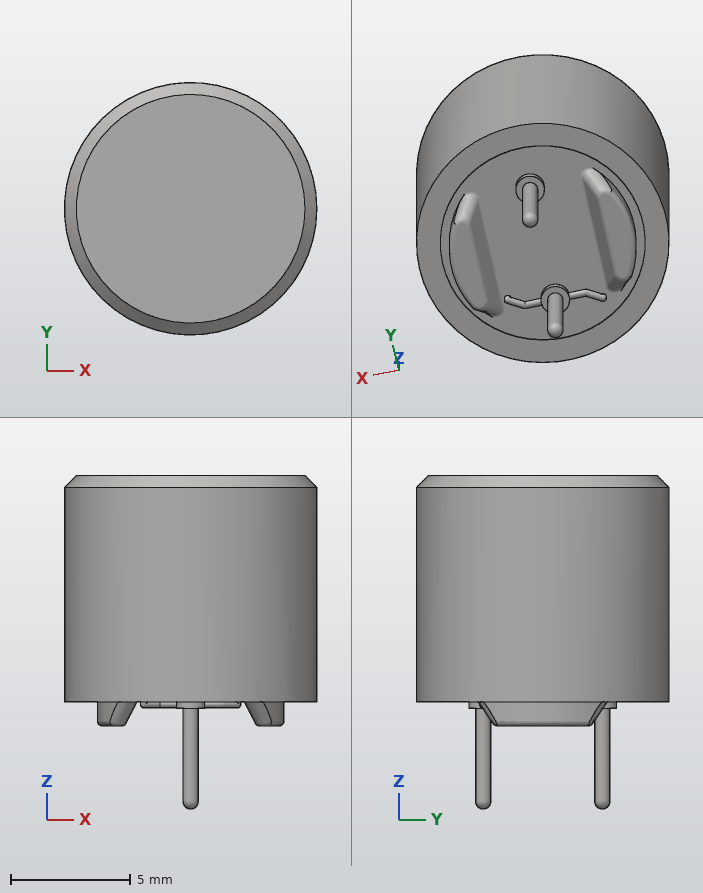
import cadquery as cq
import math


housing_diameter = 10.6
housing_height = 9.5
bore_diameter = 8.6
top_chamfer = 0.5
roof_thickness = (housing_diameter - bore_diameter) / 2

core_recess = 0.05
feet_outer_diameter = 7.84
foot_height = 1.01
foot_inner_x_at_rim = 2.25
foot_inner_x_at_tip = 2.77
foot_half_width_at_rim = 3.02
foot_half_width_at_tip = 2.34
foot_side_angle = 35
foot_blank_end_x = 4.48
foot_corner_radius = 0.38
foot_tip_fillet = 0.21
foot_root_fillet = 0.14
foot_base_thickness = 0.42
boss_diameter = 1.2
boss_height = 0.27

pin_diameter = 0.65
pin_pitch = 5.0
pin_tip_z = housing_height - 14
pin_y_places = (-pin_pitch / 2, pin_pitch / 2)

wire_diameter = 0.3
wire_axis_z = -0.105
wire_straight_half = 1.32
wire_end_half_span = 1.96
wire_end_offset = 0.38


def make_housing():
    """Cup with a chamfered roof, open at the bottom."""
    cup = cq.Workplane("XY").circle(housing_diameter / 2).extrude(housing_height)
    cup = cup.faces(">Z").edges().chamfer(top_chamfer)
    bore = cq.Workplane("XY").circle(bore_diameter / 2).extrude(housing_height - roof_thickness)
    return cup.cut(bore)


def foot_section(inner_x, half_width, z):
    """Trapezoid section of the +X foot, widest at its inner wall and running past the outer cylinder."""
    outer_half_width = half_width - (foot_blank_end_x - inner_x) * math.tan(math.radians(foot_side_angle))
    corners = [
        cq.Vector(inner_x, -half_width, z),
        cq.Vector(foot_blank_end_x, -outer_half_width, z),
        cq.Vector(foot_blank_end_x, outer_half_width, z),
        cq.Vector(inner_x, half_width, z),
    ]
    return cq.Wire.makePolygon(corners, close=True)


def make_foot():
    """Foot on the +X side: sloping walls with rounded corners, trimmed by the outer cylinder."""
    rise = core_recess / foot_height
    inner_x_at_core = foot_inner_x_at_rim - rise * (foot_inner_x_at_tip - foot_inner_x_at_rim)
    half_width_at_core = foot_half_width_at_rim + rise * (foot_half_width_at_rim - foot_half_width_at_tip)
    core_section = foot_section(inner_x_at_core, half_width_at_core, core_recess)
    tip_section = foot_section(foot_inner_x_at_tip, foot_half_width_at_tip, -foot_height)

    foot = cq.Workplane(cq.Solid.makeLoft([core_section, tip_section], True))
    foot = foot.faces("<X").edges("not #Z").fillet(foot_corner_radius)
    slab = (
        cq.Workplane("XY", origin=(0, 0, core_recess))
        .rect(2 * foot_blank_end_x, 2 * foot_blank_end_x)
        .extrude(foot_base_thickness)
    )
    inner_reach = foot_blank_end_x - foot_root_fillet
    flat_margin = foot_root_fillet / 10
    wall_roots = cq.selectors.BoxSelector(
        (-inner_reach, -inner_reach, core_recess - flat_margin),
        (inner_reach, inner_reach, core_recess + flat_margin),
    )
    foot = slab.union(foot).edges(wall_roots).fillet(foot_root_fillet)
    outer_cylinder = (
        cq.Workplane("XY", origin=(0, 0, -foot_height))
        .circle(feet_outer_diameter / 2)
        .extrude(foot_height + core_recess + foot_base_thickness)
    )
    foot = foot.intersect(outer_cylinder)
    return foot.faces("<Z").edges().fillet(foot_tip_fillet)


def make_wire():
    """Round wire in an S-bend under the core, with both ends turned up to touch the core."""
    boss_y = pin_y_places[0]
    bends = [
        cq.Vector(-wire_end_half_span, boss_y - wire_end_offset, wire_axis_z),
        cq.Vector(-wire_straight_half, boss_y, wire_axis_z),
        cq.Vector(wire_straight_half, boss_y, wire_axis_z),
        cq.Vector(wire_end_half_span, boss_y + wire_end_offset, wire_axis_z),
    ]
    ends_at_core = [cq.Vector(point.x, point.y, core_recess) for point in (bends[0], bends[-1])]
    path = [ends_at_core[0], *bends, ends_at_core[1]]

    radius = wire_diameter / 2
    wire = cq.Workplane("XY")
    for start, end in zip(path, path[1:]):
        run = end - start
        wire = wire.union(cq.Workplane(cq.Solid.makeCylinder(radius, run.Length, start, run)))
    for point in bends:
        wire = wire.union(cq.Workplane("XY", origin=point.toTuple()).sphere(radius))
    return wire


def make_core(wire):
    """Core with its feet and bosses, and a passage for the wire through the front boss."""
    core = (
        cq.Workplane("XY", origin=(0, 0, core_recess))
        .circle(bore_diameter / 2)
        .extrude(housing_height - roof_thickness - core_recess)
    )
    foot = make_foot()
    for foot_angle in (0, 180):
        core = core.union(foot.rotate((0, 0, 0), (0, 0, 1), foot_angle))
    bosses = (
        cq.Workplane("XY", origin=(0, 0, -boss_height))
        .pushPoints([(0, y) for y in pin_y_places])
        .circle(boss_diameter / 2)
        .extrude(boss_height + core_recess)
    )
    return core.union(bosses).cut(wire)


def make_pin(y):
    """Round pin with a hemispherical tip, standing on the underside of a boss."""
    radius = pin_diameter / 2
    tip_centre_z = pin_tip_z + radius
    shank = (
        cq.Workplane("XY", origin=(0, y, tip_centre_z))
        .circle(radius)
        .extrude(-boss_height - tip_centre_z)
    )
    tip = cq.Workplane("XY", origin=(0, y, tip_centre_z)).sphere(radius)
    return shank.union(tip)


housing = make_housing()
wire = make_wire()
core = make_core(wire)
pins = [make_pin(y) for y in pin_y_places]

result = cq.Compound.makeCompound(
    [housing.val(), core.val(), wire.val(), *[pin.val() for pin in pins]]
)